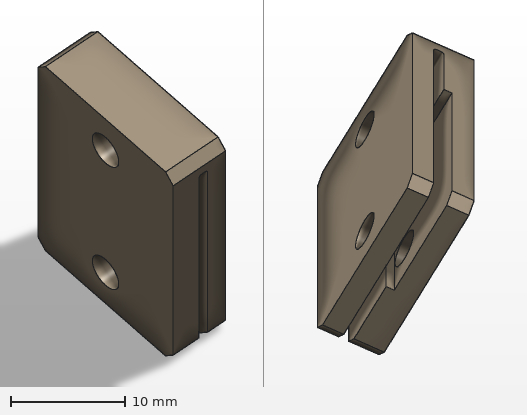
import cadquery as cq

width = 18.0
thickness = 6.1
height = 25.0
corner_chamfer = 1.0

hole_diameter = 3.5
hole_end_distance = 4.2

rear_leg_thickness = 2.1
slot_width = 1.0
slot_top_wall = 2.0
slot_corner_radius = 0.3

recess_depth = 0.8
recess_height = 17.0
recess_length = 10.9

left_x = -width / 2
slot_back_y = thickness / 2 - rear_leg_thickness
slot_front_y = slot_back_y - slot_width
slot_height = height - slot_top_wall


def make_block():
    """Plate with chamfers on the four edges that run along Y."""
    block = cq.Workplane("XY").box(width, thickness, height, centered=(True, True, False))
    return block.edges("|Y").chamfer(corner_chamfer)


def make_slot():
    """Slot along the whole width, open at the bottom, with rounded top corners."""
    slot = cq.Workplane("XY").box(width, slot_width, slot_height, centered=(True, False, False))
    return slot.edges("|X and >Z").fillet(slot_corner_radius).translate((0, slot_front_y, 0))


def make_recess():
    """Recess in the front leg, open to the slot, the left side and the bottom."""
    recess = cq.Workplane("XY").box(recess_length, recess_depth, recess_height, centered=False)
    return recess.translate((left_x, slot_front_y - recess_depth, 0))


def make_holes():
    """Two round holes through the full thickness."""
    hole_centres = [(0, hole_end_distance), (0, height - hole_end_distance)]
    holes = cq.Workplane("XZ").pushPoints(hole_centres).circle(hole_diameter / 2)
    return holes.extrude(thickness / 2, both=True)


result = make_block().cut(make_slot()).cut(make_recess()).cut(make_holes())